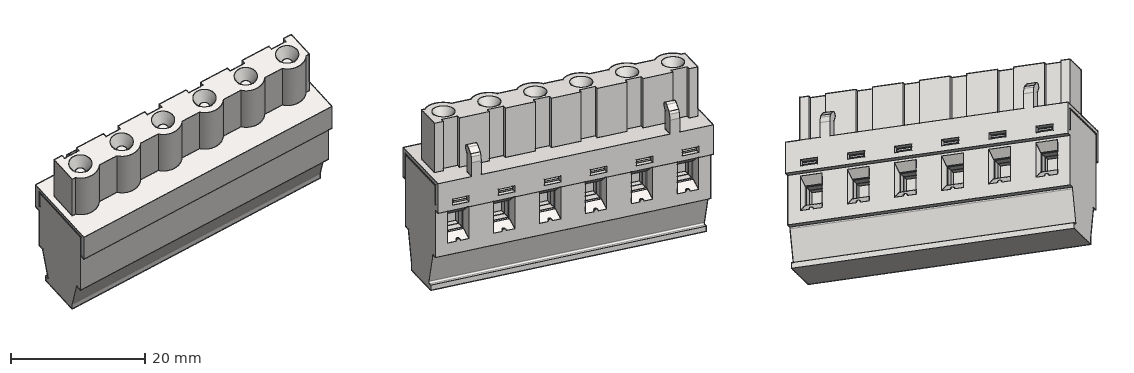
import cadquery as cq


WIDTH = 12.6
LENGTH = 45.0
HEIGHT = 27.6

POLES = 6
PITCH = LENGTH / POLES
POLE_POSITIONS = [(i - (POLES - 1) / 2) * PITCH for i in range(POLES)]

CAP_BOTTOM = 14.25
CAP_TOP = 19.25

BODY_LEFT = 0.95
BODY_RIGHT = 11.7
BODY_BOTTOM = 6.35

FOOT_LEFT = 1.9
FOOT_RIGHT = 10.7
FOOT_STRAIGHT = 0.25
BASE_LEFT = 2.55
BASE_RIGHT = 9.55
BASE_STRAIGHT = 1.1
LIP_HEIGHT = 0.9
NECK_LEFT = 3.25
NECK_HEIGHT = 1.2
NECK_RADIUS = 0.22

GAP = 0.2
GAP_TOP = 18.65
GAP_LEFT_BOTTOM = 15.25

PLUG_LENGTH = 43.0
PLUG_LEFT = 3.4
PLUG_RIGHT = 8.15
BULGE_REACH = 9.2
BULGE_CHORD = 4.3
KEY_DEPTH = 0.68
KEY_WIDTH = 2.6

HOLE_X = WIDTH / 2
HOLE_TOP_DIAMETER = 3.45
HOLE_BOTTOM_DIAMETER = 1.58
HOLE_DEPTH = 1.9

HOOK_WIDTH = 1.58
HOOK_POSITIONS = (-16.2, 16.2)
HOOK_THICKNESS = 1.75
HOOK_BEND_START = 21.6
HOOK_BEND_MIDDLE = (0.2, 22.5)
HOOK_BEND_END = (0.4, 22.9)
NOSE_START = (1.25, 23.62)
NOSE_CROWN = (2.0, 23.65)
NOSE_TIP = (2.3, 23.18)
NOSE_UNDERSIDE = 22.3

ENTRY_Z = 11.1
FUNNEL_WIDTH = 3.45
FUNNEL_HEIGHT = 5.55
FUNNEL_DEPTH = 1.15
THROAT_WIDTH = 2.8
THROAT_HEIGHT = 3.1
THROAT_DEPTH = 0.4
POCKET_STEP = 0.05
CHAMBER_DEPTH = 1.25
REAR_DEPTH = 1.0
NUB_RADIUS = 0.35
NUB_LENGTH = 0.68

WINDOW_WIDTH = 2.7
WINDOW_BOTTOM = 15.1
WINDOW_TOP = 16.1
CATCH_WIDTH = 2.25
CATCH_BOTTOM = 15.4
CATCH_EDGE = 0.25
CATCH_FRONT = 0.25


def box(x_min, x_max, width, z_min, z_max, y=0.0):
    """Block between two X and two Z levels, centred on y."""
    block = cq.Workplane("XY").box(x_max - x_min, width, z_max - z_min, centered=(False, True, False))
    return block.translate((x_min, y, z_min))


def extrude_along_y(profile, width, y=0.0):
    """Extrude a closed XZ outline symmetrically about y."""
    return profile.extrude(width / 2, both=True).translate((0, y, 0))


def housing():
    """Cap, clamp body and tapered foot as one profile."""
    profile = (
        cq.Workplane("XZ")
        .moveTo(BASE_LEFT, 0)
        .lineTo(BASE_RIGHT, 0)
        .lineTo(BASE_RIGHT, BASE_STRAIGHT)
        .lineTo(FOOT_RIGHT, BODY_BOTTOM)
        .lineTo(BODY_RIGHT, BODY_BOTTOM)
        .lineTo(BODY_RIGHT, CAP_BOTTOM)
        .lineTo(WIDTH, CAP_BOTTOM)
        .lineTo(WIDTH, CAP_TOP)
        .lineTo(0, CAP_TOP)
        .lineTo(0, CAP_BOTTOM)
        .lineTo(BODY_LEFT, CAP_BOTTOM)
        .lineTo(BODY_LEFT, BODY_BOTTOM)
        .lineTo(FOOT_LEFT, BODY_BOTTOM)
        .lineTo(FOOT_LEFT, BODY_BOTTOM - FOOT_STRAIGHT)
        .lineTo(NECK_LEFT, NECK_HEIGHT)
        .radiusArc((NECK_LEFT - NECK_RADIUS, LIP_HEIGHT), NECK_RADIUS)
        .lineTo(BASE_LEFT, LIP_HEIGHT)
        .close()
    )
    return extrude_along_y(profile, LENGTH)


def cap_gap():
    """Slot running the whole length; it opens downward on the +X side."""
    right = BODY_RIGHT + GAP
    across = box(BODY_LEFT, right, LENGTH, GAP_TOP - GAP, GAP_TOP)
    wire_side = box(BODY_LEFT, BODY_LEFT + GAP, LENGTH, GAP_LEFT_BOTTOM, GAP_TOP)
    far_side = box(BODY_RIGHT, right, LENGTH, CAP_BOTTOM, GAP_TOP)
    return across.union(wire_side).union(far_side)


def plug():
    """Contact block with a bulge and a key groove at every pole."""
    half_chord = BULGE_CHORD / 2
    outline = cq.Workplane("XY").workplane(offset=CAP_TOP).moveTo(PLUG_LEFT, -PLUG_LENGTH / 2)
    outline = outline.lineTo(PLUG_RIGHT, -PLUG_LENGTH / 2)
    for y in POLE_POSITIONS:
        outline = outline.lineTo(PLUG_RIGHT, y - half_chord)
        outline = outline.threePointArc((BULGE_REACH, y), (PLUG_RIGHT, y + half_chord))
    outline = outline.lineTo(PLUG_RIGHT, PLUG_LENGTH / 2).lineTo(PLUG_LEFT, PLUG_LENGTH / 2).close()
    block = outline.extrude(HEIGHT - CAP_TOP)
    for y in POLE_POSITIONS:
        block = block.cut(box(PLUG_LEFT, PLUG_LEFT + KEY_DEPTH, KEY_WIDTH, CAP_TOP, HEIGHT, y))
    return block


def contact_hole(y):
    """Conical hole from the top of the contact block."""
    cone = cq.Solid.makeCone(
        HOLE_BOTTOM_DIAMETER / 2,
        HOLE_TOP_DIAMETER / 2,
        HOLE_DEPTH,
        pnt=cq.Vector(HOLE_X, y, HEIGHT - HOLE_DEPTH),
    )
    return cq.Workplane(cone)


def hook(y):
    """Latch hook that leans inward and ends in a rounded nose."""
    profile = (
        cq.Workplane("XZ")
        .moveTo(0, CAP_TOP)
        .lineTo(0, HOOK_BEND_START)
        .lineTo(*HOOK_BEND_MIDDLE)
        .lineTo(*HOOK_BEND_END)
        .lineTo(*NOSE_START)
        .threePointArc(NOSE_CROWN, NOSE_TIP)
        .lineTo(HOOK_THICKNESS, NOSE_UNDERSIDE)
        .lineTo(HOOK_THICKNESS, CAP_TOP)
        .close()
    )
    return extrude_along_y(profile, HOOK_WIDTH, y)


def wire_entry(y):
    """Funnel and stepped pocket, with a small nub left on the funnel's lower edge."""
    funnel = (
        cq.Workplane("YZ", origin=(BODY_LEFT, y, ENTRY_Z))
        .rect(FUNNEL_WIDTH, FUNNEL_HEIGHT)
        .workplane(offset=FUNNEL_DEPTH)
        .rect(THROAT_WIDTH, THROAT_HEIGHT)
        .loft(ruled=True)
    )
    nub = (
        cq.Workplane("YZ", origin=(BODY_LEFT, y, ENTRY_Z - FUNNEL_HEIGHT / 2))
        .circle(NUB_RADIUS)
        .extrude(NUB_LENGTH)
    )
    pocket = funnel.cut(nub)
    start = BODY_LEFT + FUNNEL_DEPTH
    for step, depth in enumerate((THROAT_DEPTH, CHAMBER_DEPTH, REAR_DEPTH)):
        inset = step * POCKET_STEP
        half_height = THROAT_HEIGHT / 2 - inset
        width = THROAT_WIDTH - 2 * inset
        stage = box(start, start + depth, width, ENTRY_Z - half_height, ENTRY_Z + half_height, y)
        pocket = pocket.union(stage)
        start += depth
    return pocket


def snap_window(y):
    """Opening through the wire-side wall of the cap, as far as the body."""
    return box(0, BODY_LEFT + GAP, WINDOW_WIDTH, WINDOW_BOTTOM, WINDOW_TOP, y)


def catch(y):
    """Wedge on the body, sloping down toward the wire side inside the window."""
    back = BODY_LEFT + GAP
    profile = (
        cq.Workplane("XZ")
        .moveTo(back, CATCH_BOTTOM)
        .lineTo(CATCH_FRONT, CATCH_BOTTOM)
        .lineTo(CATCH_FRONT, CATCH_BOTTOM + CATCH_EDGE)
        .lineTo(back, WINDOW_TOP)
        .close()
    )
    return extrude_along_y(profile, CATCH_WIDTH, y)


result = housing().cut(cap_gap()).union(plug())
for hook_y in HOOK_POSITIONS:
    result = result.union(hook(hook_y))
for pole_y in POLE_POSITIONS:
    result = result.cut(contact_hole(pole_y)).cut(wire_entry(pole_y))
    result = result.cut(snap_window(pole_y)).union(catch(pole_y))